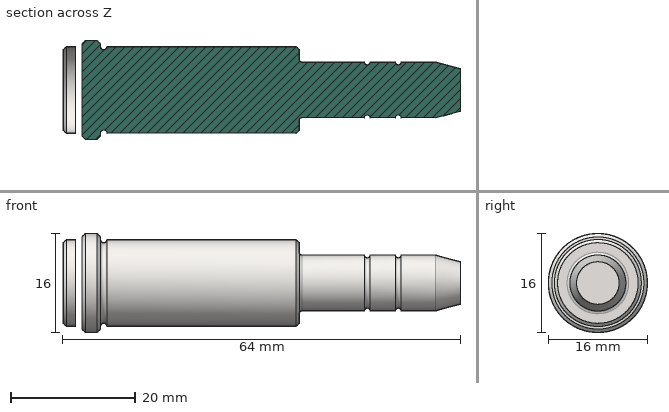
import cadquery as cq
import math

total_length = 64.0
body_radius = 14.0 / 2
flange_radius = 16.0 / 2
stem_radius = 9.0 / 2

flange_start = 3.0
flange_end = 6.0
shoulder = 38.0
taper_start = 60.0
stem_groove_centers = (48.95, 53.95)

edge_chamfer = 0.5
flange_chamfer = 0.6
flange_groove_radius = 0.5
stem_groove_radius = 0.45
stem_root_fillet = 0.45
taper_angle = 15.0


def cylinder(start, end, radius):
    """Solid cylinder on the X axis between two axial positions."""
    return cq.Workplane("YZ").workplane(offset=start).circle(radius).extrude(end - start)


def round_groove(center, surface_radius, groove_radius):
    """Ring that cuts a half-round groove into a cylindrical surface."""
    return (
        cq.Workplane("XY")
        .center(center, surface_radius)
        .circle(groove_radius)
        .revolve(360, (0, -surface_radius, 0), (1, -surface_radius, 0))
    )


body = cylinder(0, shoulder, body_radius).faces("<X or >X").edges().chamfer(edge_chamfer)
for center in (flange_start - flange_groove_radius, flange_end + flange_groove_radius):
    body = body.cut(round_groove(center, body_radius, flange_groove_radius))

flange = cylinder(flange_start, flange_end, flange_radius).edges().chamfer(flange_chamfer)

tip_radius = stem_radius - (total_length - taper_start) * math.tan(math.radians(taper_angle))
stem = (
    cq.Workplane("XY")
    .moveTo(shoulder, 0)
    .lineTo(shoulder, stem_radius + stem_root_fillet)
    .radiusArc((shoulder + stem_root_fillet, stem_radius), -stem_root_fillet)
    .lineTo(taper_start, stem_radius)
    .lineTo(total_length, tip_radius)
    .lineTo(total_length, 0)
    .close()
    .revolve(360, (0, 0, 0), (1, 0, 0))
)
for center in stem_groove_centers:
    stem = stem.cut(round_groove(center, stem_radius, stem_groove_radius))

result = body.union(flange).union(stem)